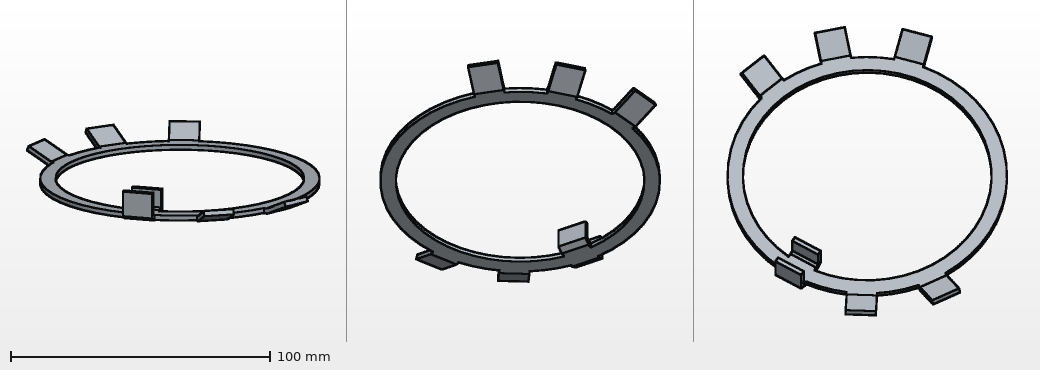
import cadquery as cq
import math

outer_radius = 53.9
inner_radius = 48.0
sheet = 2.0
tab_width = 11.7

tilted_tab_angles = (105, 135, 165, 300, 330)
tilt = 25
tilt_bend_radius = 54.7
tilted_tab_length = 11.2

clip_angle = 270
clip_slope = 30
clip_slope_run = 1.2
outer_clip_bend_radius = outer_radius
inner_clip_bend_radius = 46.2
outer_clip_height = 11.4
inner_clip_height = 9.7

root_radius = (outer_radius + inner_radius) / 2


def mitre_offset(bend_angle):
    """Shift of a bend line between the upper and lower faces of the sheet."""
    return sheet * math.tan(math.radians(bend_angle / 2))


def strip(profile, angle):
    """Extrude a (radius, height) profile to the tab width and turn it to its angle."""
    body = cq.Workplane("XZ").polyline(profile).close().extrude(tab_width / 2, both=True)
    return body.rotate((0, 0, 0), (0, 0, 1), angle)


def tilted_tab(angle):
    slope = math.radians(tilt)
    upper_tip_radius = tilt_bend_radius + tilted_tab_length * math.cos(slope)
    upper_tip_height = sheet + tilted_tab_length * math.sin(slope)
    profile = [
        (root_radius, 0),
        (tilt_bend_radius + mitre_offset(tilt), 0),
        (upper_tip_radius + sheet * math.sin(slope), upper_tip_height - sheet * math.cos(slope)),
        (upper_tip_radius, upper_tip_height),
        (tilt_bend_radius, sheet),
        (root_radius, sheet),
    ]
    return strip(profile, angle)


def upright_clip(bend_radius, height, direction):
    """Clip bent up outside (direction 1) or inside (direction -1) the ring."""
    rise_per_run = math.tan(math.radians(clip_slope))
    lower_bend = mitre_offset(clip_slope)
    near_face = clip_slope_run
    far_face = near_face + sheet
    steps = [
        (lower_bend, 0),
        (far_face, (far_face - lower_bend) * rise_per_run),
        (far_face, height),
        (near_face, height),
        (near_face, sheet + near_face * rise_per_run),
        (0, sheet),
    ]
    bent_part = [(bend_radius + direction * run, z) for run, z in steps]
    return strip([(root_radius, 0)] + bent_part + [(root_radius, sheet)], clip_angle)


result = cq.Workplane("XY").circle(outer_radius).circle(inner_radius).extrude(sheet)

for tab_angle in tilted_tab_angles:
    result = result.union(tilted_tab(tab_angle))

result = result.union(upright_clip(outer_clip_bend_radius, outer_clip_height, 1))
result = result.union(upright_clip(inner_clip_bend_radius, inner_clip_height, -1))